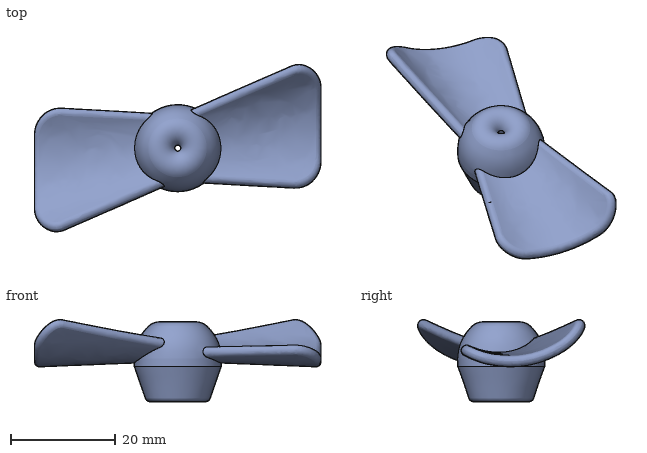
import cadquery as cq
import math

HUB_RADIUS = 8.35
BASE_RADIUS = 6.0
BASE_ROUND = 1.1
BELT_BOTTOM = 6.8
BELT_TOP = 8.3
DOME_END_RADIUS = 5.6
LIP_RADIUS = 3.85
LIP_HEIGHT = 15.35
BORE_RADIUS = 0.55
FUNNEL_BOTTOM = 13.2

ROOT_X = 1.65
TIP_SPAN = 55.0
TIP_LEAN = 0.02
TIP_X = TIP_SPAN / 2 - TIP_LEAN
BLADE_THICKNESS = 2.1
RIM_ROUND = 1.0
BLADE_COUNT = 2

ROOT_HIGH_Y = 6.7
TIP_HIGH_Y = 17.65
ROOT_LOW_Y = -6.45
TIP_LOW_Y = -7.8
HIGH_CORNER_RADIUS = 3.95
LOW_CORNER_RADIUS = 4.95
OUTLINE_HEIGHT = 33.0

ROOT_ARC = dict(radius=12.95, low_y=-1.4, low_z=8.75, low_side=24.5, high_side=44.0)
TIP_ARC = dict(radius=18.3, low_y=1.85, low_z=7.7, low_side=34.9, high_side=63.0)


def make_hub():
    """Solid of revolution: tapered skirt, short belt, dome and funnelled top."""
    diagonal = math.sqrt(0.5)
    dome_height = math.sqrt(HUB_RADIUS**2 - DOME_END_RADIUS**2)
    profile = (
        cq.Workplane("XZ")
        .moveTo(BORE_RADIUS, 0)
        .lineTo(BASE_RADIUS, 0)
        .lineTo(HUB_RADIUS, BELT_BOTTOM)
        .lineTo(HUB_RADIUS, BELT_TOP)
        .threePointArc(
            (HUB_RADIUS * diagonal, BELT_TOP + HUB_RADIUS * diagonal),
            (DOME_END_RADIUS, BELT_TOP + dome_height),
        )
        .threePointArc((LIP_RADIUS, LIP_HEIGHT), (BORE_RADIUS, FUNNEL_BOTTOM))
        .close()
    )
    hub = profile.revolve(360, (0, 0, 0), (0, 1, 0))
    outer_base_edge = hub.faces("<Z").edges(cq.selectors.RadiusNthSelector(-1))
    return outer_base_edge.fillet(BASE_ROUND)


def make_trough_arc(x, radius, low_y, low_z, low_side, high_side):
    """Arc of the trough in the plane at the given X, from low to high side."""

    def point(degrees):
        angle = math.radians(degrees)
        return cq.Vector(x, low_y + radius * math.sin(angle), low_z + radius * (1 - math.cos(angle)))

    return cq.Edge.makeThreePointArc(
        point(-low_side), point((high_side - low_side) / 2), point(high_side)
    )


def make_blade():
    """Blade on the +X side with rounded outer corners and a rounded rim."""
    outline = (
        cq.Workplane("XY")
        .polyline(
            [
                (ROOT_X, ROOT_LOW_Y),
                (TIP_X, TIP_LOW_Y),
                (TIP_X, TIP_HIGH_Y),
                (ROOT_X, ROOT_HIGH_Y),
            ]
        )
        .close()
        .extrude(OUTLINE_HEIGHT)
    )
    outline = outline.edges("|Z").edges("<Y").fillet(LOW_CORNER_RADIUS)
    outline = outline.edges("|Z").edges(">Y").fillet(HIGH_CORNER_RADIUS)

    trough = cq.Face.makeRuledSurface(
        make_trough_arc(ROOT_X, **ROOT_ARC), make_trough_arc(TIP_X, **TIP_ARC)
    )
    middle_face = trough.intersect(outline.val()).Faces()[0]
    upper_half = middle_face.thicken(BLADE_THICKNESS / 2)
    lower_half = middle_face.thicken(-BLADE_THICKNESS / 2)
    blade = cq.Workplane(upper_half.fuse(lower_half))
    broad_faces = blade.faces(cq.selectors.AreaNthSelector(-1)).add(
        blade.faces(cq.selectors.AreaNthSelector(-2))
    )
    root_limit = ROOT_X + BLADE_THICKNESS / 2
    rim = [edge for edge in broad_faces.edges().vals() if edge.Center().x > root_limit]
    return blade.newObject(rim).fillet(RIM_ROUND)


hub = make_hub()
blade = make_blade()
result = hub
for index in range(BLADE_COUNT):
    result = result.union(blade.rotate((0, 0, 0), (0, 0, 1), index * 360 / BLADE_COUNT))